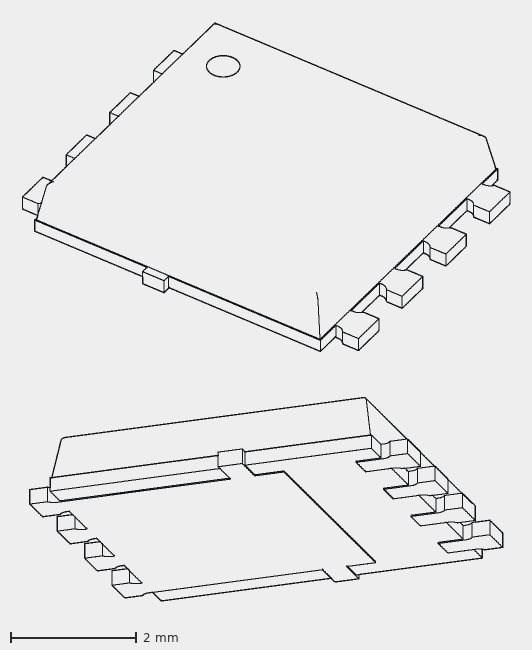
import cadquery as cq
import math

overall_length = 6.44
overall_width = 5.41
overall_height = 1.0

body_length = 5.475
body_width = 5.15
body_standoff = 0.02
draft_angle = 9.8
shoulder = 0.02
top_edge_radius = 0.1

frame_thickness = 0.25
lead_count = 4
lead_pitch = 1.27
lead_width = 0.6
neck_width = 0.445
neck_curve_length = 0.135
lead_head_length = 0.3
lead_inner_length = 0.91
tie_bar_width = 0.41
tie_bar_x = -0.38
pad_start_x = -1.08

mark_diameter = 0.535
mark_x = -1.85
mark_y = 1.55
mark_depth = 0.005

tip_x = overall_length / 2
lead_run_y = [(i - (lead_count - 1) / 2) * lead_pitch for i in range(lead_count)]
pad_width = (lead_count - 1) * lead_pitch + neck_width
neck_step = (lead_width - neck_width) / 2
neck_curve_radius = (neck_curve_length**2 + neck_step**2) / (2 * neck_step)


def make_body():
    """Straight base up to the leadframe top, then a drafted cover with a rounded rim."""
    base = (
        cq.Workplane("XY")
        .workplane(offset=body_standoff)
        .rect(body_length, body_width)
        .extrude(frame_thickness - body_standoff)
    )
    cover = (
        cq.Workplane("XY")
        .workplane(offset=frame_thickness)
        .rect(body_length - 2 * shoulder, body_width - 2 * shoulder)
        .extrude(overall_height - frame_thickness, taper=draft_angle)
        .faces(">Z")
        .edges()
        .fillet(top_edge_radius)
    )
    return base.union(cover)


def make_lead(y, inner_x):
    """Lead at the -X side: wide tip, concave rounded shoulders, then a neck to inner_x."""
    head_end_x = -tip_x + lead_head_length
    neck_start_x = head_end_x + neck_curve_length
    half_head = lead_width / 2
    half_neck = neck_width / 2
    half_sweep = math.asin(neck_curve_length / neck_curve_radius) / 2
    arc_mid_x = neck_start_x - neck_curve_radius * math.sin(half_sweep)
    arc_mid_y = half_neck + neck_curve_radius * (1 - math.cos(half_sweep))
    return (
        cq.Workplane("XY")
        .moveTo(-tip_x, -half_head)
        .lineTo(head_end_x, -half_head)
        .threePointArc((arc_mid_x, -arc_mid_y), (neck_start_x, -half_neck))
        .lineTo(inner_x, -half_neck)
        .lineTo(inner_x, half_neck)
        .lineTo(neck_start_x, half_neck)
        .threePointArc((arc_mid_x, arc_mid_y), (head_end_x, half_head))
        .lineTo(-tip_x, half_head)
        .close()
        .extrude(frame_thickness)
        .translate((0, y, 0))
    )


def make_leadframe():
    """Four separate leads at -X; a pad with tie bars and four joined leads at +X."""
    pad_end_x = body_length / 2
    pad = (
        cq.Workplane("XY")
        .center((pad_start_x + pad_end_x) / 2, 0)
        .rect(pad_end_x - pad_start_x, pad_width)
        .extrude(frame_thickness)
    )
    tie_bar = (
        cq.Workplane("XY")
        .center(tie_bar_x, 0)
        .rect(tie_bar_width, overall_width)
        .extrude(frame_thickness)
    )
    frame = pad.union(tie_bar)
    for y in lead_run_y:
        frame = frame.union(make_lead(y, -tip_x + lead_inner_length))
        frame = frame.union(make_lead(y, -pad_start_x).mirror("YZ"))
    return frame


def make_mark():
    """Shallow round pin 1 recess in the top face."""
    return (
        cq.Workplane("XY")
        .workplane(offset=overall_height - mark_depth)
        .center(mark_x, mark_y)
        .circle(mark_diameter / 2)
        .extrude(mark_depth)
    )


result = make_body().union(make_leadframe()).cut(make_mark())